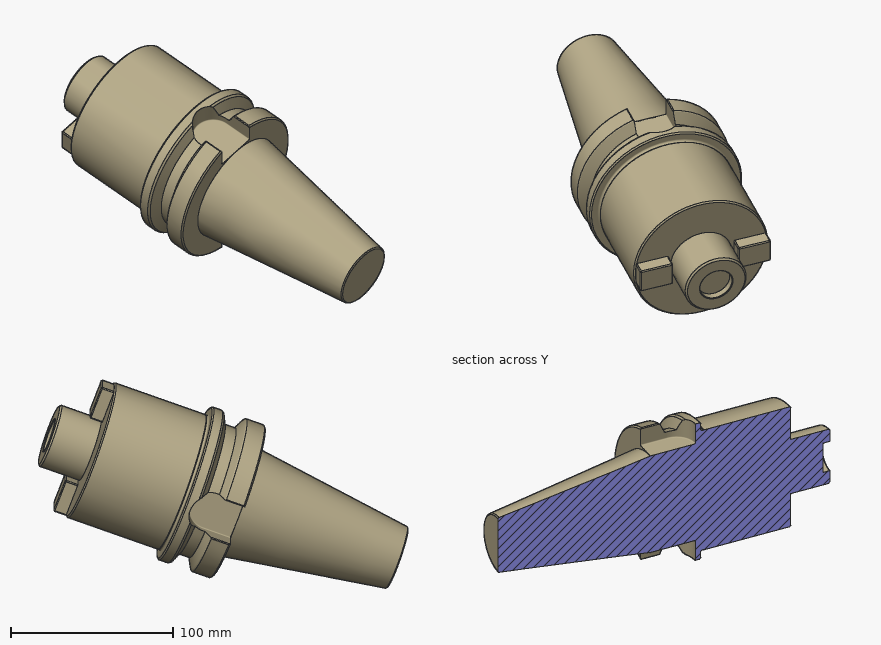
import cadquery as cq

total_length = 228.8
pilot_length = 27.0
flange_front = 89.0
flange_back = 124.0
relief_length = 1.5
relief_step_length = 0.5
front_rim_end = 97.0
rear_rim_start = 111.0
groove_floor_start = 100.2
groove_floor_end = 107.3

pilot_diameter = 40.0
body_diameter = 88.0
relief_diameter = 87.6
flange_diameter = 100.0
groove_diameter = 84.9
taper_small_diameter = 40.3
taper_ratio = 7 / 24
taper_large_diameter = taper_small_diameter + taper_ratio * (total_length - flange_back)

pilot_chamfer = 1.1
body_chamfer = 1.0
flange_chamfer = 1.0
taper_chamfer = 0.7
front_rim_drop = 1.0
front_rim_chamfer_length = 1.4
rear_rim_chamfer = 0.7
relief_fillet = 1.1

bore_diameter = 21.0
bore_depth = 4.5
bore_chamfer = 0.5

key_width = 16.0
key_height = 8.2
key_inner = 21.5
key_outer = 42.8
key_chamfer = 0.7

slot_width = 25.6
slot_floor = 35.5
slot_end = 93.0
slot_overrun = 2.3
slot_runout = flange_back + slot_overrun
slot_floor_fillet = 0.7
slot_edge_chamfer = 0.7


def turned_body():
    pilot_r = pilot_diameter / 2
    body_r = body_diameter / 2
    relief_r = relief_diameter / 2
    flange_r = flange_diameter / 2
    groove_r = groove_diameter / 2
    small_r = taper_small_diameter / 2
    large_r = taper_large_diameter / 2
    relief_start = flange_front - relief_length
    outline = (
        cq.Workplane("XY")
        .lineTo(0, pilot_r - pilot_chamfer)
        .lineTo(pilot_chamfer, pilot_r)
        .lineTo(pilot_length, pilot_r)
        .lineTo(pilot_length, body_r - body_chamfer)
        .lineTo(pilot_length + body_chamfer, body_r)
        .lineTo(relief_start - relief_step_length, body_r)
        .lineTo(relief_start, relief_r)
        .lineTo(flange_front - relief_fillet, relief_r)
        .radiusArc((flange_front, relief_r + relief_fillet), -relief_fillet)
        .lineTo(flange_front, flange_r - flange_chamfer)
        .lineTo(flange_front + flange_chamfer, flange_r)
        .lineTo(front_rim_end - front_rim_chamfer_length, flange_r)
        .lineTo(front_rim_end, flange_r - front_rim_drop)
        .lineTo(groove_floor_start, groove_r)
        .lineTo(groove_floor_end, groove_r)
        .lineTo(rear_rim_start, flange_r - rear_rim_chamfer)
        .lineTo(rear_rim_start + rear_rim_chamfer, flange_r)
        .lineTo(flange_back - flange_chamfer, flange_r)
        .lineTo(flange_back, flange_r - flange_chamfer)
        .lineTo(flange_back, large_r)
        .lineTo(total_length, small_r)
        .lineTo(total_length, 0)
        .close()
    )
    turned = outline.revolve(360, (0, 0, 0), (1, 0, 0))
    return turned.faces(">X").chamfer(taper_chamfer)


def pilot_bore():
    straight = cq.Workplane("YZ").circle(bore_diameter / 2).extrude(bore_depth)
    mouth = cq.Solid.makeCone(
        bore_diameter / 2 + bore_chamfer,
        bore_diameter / 2,
        bore_chamfer,
        cq.Vector(0, 0, 0),
        cq.Vector(1, 0, 0),
    )
    return straight.union(mouth)


def drive_key(side):
    centre_y = side * (key_inner + key_outer) / 2
    return (
        cq.Workplane("YZ", origin=(pilot_length - key_height, 0, 0))
        .center(centre_y, 0)
        .rect(key_outer - key_inner, key_width)
        .extrude(key_height)
        .edges("not(>X)")
        .chamfer(key_chamfer)
    )


def drive_slot(side):
    half_width = slot_width / 2
    arc_centre = slot_end + half_width
    return (
        cq.Workplane("XY", origin=(0, 0, side * slot_floor))
        .moveTo(slot_runout, -half_width)
        .lineTo(arc_centre, -half_width)
        .threePointArc((slot_end, 0), (arc_centre, half_width))
        .lineTo(slot_runout, half_width)
        .close()
        .extrude(side * flange_diameter / 2)
        .edges("<Z" if side > 0 else ">Z")
        .edges("not(>X)")
        .fillet(slot_floor_fillet)
    )


def rear_rim_slot_edges(side):
    """Select the straight edges where a slot breaks through the rear rim of the flange."""
    return cq.selectors.BoxSelector(
        (rear_rim_start, -slot_width, side * slot_floor),
        (flange_back, slot_width, side * flange_diameter),
    )


result = turned_body().cut(pilot_bore())
for side in (1, -1):
    result = result.union(drive_key(side)).cut(drive_slot(side))
    result = result.edges("|X").edges(rear_rim_slot_edges(side)).chamfer(slot_edge_chamfer)